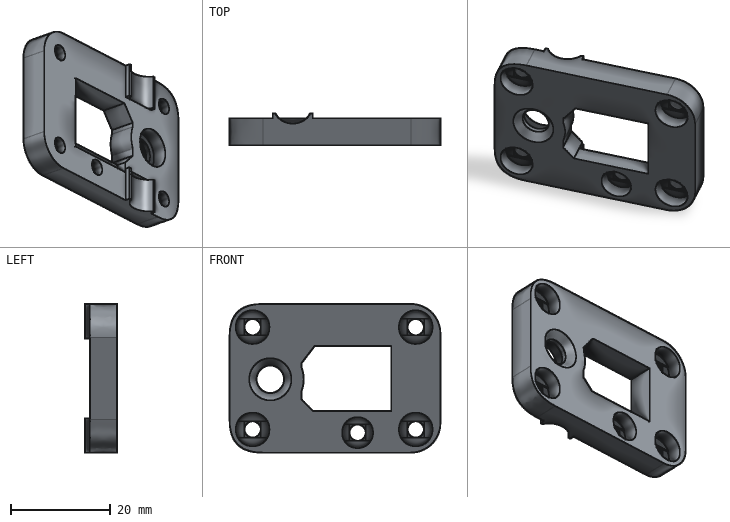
import cadquery as cq
import math

PLATE_WIDTH = 42.51
PLATE_HEIGHT = 29.99
PLATE_THICKNESS = 5.45
RIGHT_CORNER_RADIUS = 6.0
LEFT_CORNER_REACH = 6.7
LEFT_CORNER_INSET = 1.64
MID_HEIGHT = PLATE_HEIGHT / 2

SCREW_HOLE_DIAMETER = 3.25
STEP_WIDTH = 3.35
STEP_DEPTH = 0.25
COUNTERBORE_DEPTH = 3.0
CORNER_COUNTERBORE_DIAMETER = 6.8
CORNER_HOLE_SPACING_X = 32.84
CORNER_HOLE_SPACING_Z = 20.6
RIGHT_HOLE_MARGIN = 5.0
RIGHT_HOLE_X = PLATE_WIDTH - RIGHT_HOLE_MARGIN
LEFT_HOLE_X = RIGHT_HOLE_X - CORNER_HOLE_SPACING_X
LOWER_COUNTERBORE_DIAMETER = 6.25
LOWER_HOLE_X = 25.8
LOWER_HOLE_Z = 4.05

BORE_X = 8.23
BORE_Z = 14.8
BORE_DIAMETER = 5.5
COUNTERSINK_DIAMETER = 8.5
COUNTERSINK_DEPTH = (COUNTERSINK_DIAMETER - BORE_DIAMETER) / 2
BACK_BORE_DIAMETER = 8.0
BACK_BORE_START = 2.5

WINDOW_LEFT = 14.53
WINDOW_RIGHT = 32.58
WINDOW_BOTTOM = 8.42
WINDOW_TOP = 21.45
UPPER_CHAMFER_X = 2.62
UPPER_CHAMFER_Z = 3.4
LOWER_CHAMFER = 2.3
BORE_WALL_RADIUS = 6.75

RECESS_START = 3.4
RECESS_DROP = 2.2

SADDLE_X = 12.75
SADDLE_WIDTH = 8.1
SADDLE_LENGTH = 7.0
SADDLE_HEIGHT = 1.0
GROOVE_DIAMETER = 8.0
GROOVE_DEPTH = 2.1
BACK = PLATE_THICKNESS + SADDLE_HEIGHT


def front_plane(depth=0.0):
    """Workplane at the given Y; sketch axes are X and Z, and extruding by -d goes d toward +Y."""
    return cq.Workplane("XZ", origin=(0, depth, 0))


def cylinder(x, z, diameter, start, length):
    return front_plane(start).center(x, z).circle(diameter / 2).extrude(-length)


def block(x, z, width, height, start, length):
    return front_plane(start).center(x, z).rect(width, height).extrude(-length)


def plate():
    right = PLATE_WIDTH - RIGHT_CORNER_RADIUS
    top = PLATE_HEIGHT - RIGHT_CORNER_RADIUS
    arc_inset = RIGHT_CORNER_RADIUS * (1 - math.sqrt(0.5))
    inset = LEFT_CORNER_INSET
    outline = (
        front_plane()
        .moveTo(LEFT_CORNER_REACH, 0)
        .lineTo(right, 0)
        .threePointArc((PLATE_WIDTH - arc_inset, arc_inset), (PLATE_WIDTH, RIGHT_CORNER_RADIUS))
        .lineTo(PLATE_WIDTH, top)
        .threePointArc((PLATE_WIDTH - arc_inset, PLATE_HEIGHT - arc_inset), (right, PLATE_HEIGHT))
        .lineTo(LEFT_CORNER_REACH, PLATE_HEIGHT)
        .spline(
            [(inset, PLATE_HEIGHT - inset), (0, PLATE_HEIGHT - LEFT_CORNER_REACH)],
            tangents=[(-1, 0), (0, -1)],
            includeCurrent=True,
        )
        .lineTo(0, LEFT_CORNER_REACH)
        .spline(
            [(inset, inset), (LEFT_CORNER_REACH, 0)],
            tangents=[(0, -1), (1, 0)],
            includeCurrent=True,
        )
        .close()
    )
    return outline.extrude(-PLATE_THICKNESS)


def screw_hole(x, z, counterbore_diameter):
    """Counterbore, then a slot across it, then a square, then the round through hole."""
    slot_end = COUNTERBORE_DEPTH + STEP_DEPTH
    counterbore = cylinder(x, z, counterbore_diameter, 0, COUNTERBORE_DEPTH)
    slot = block(x, z, counterbore_diameter, STEP_WIDTH, 0, slot_end)
    slot = slot.intersect(cylinder(x, z, counterbore_diameter, 0, slot_end))
    square = block(x, z, STEP_WIDTH, STEP_WIDTH, 0, slot_end + STEP_DEPTH)
    through = cylinder(x, z, SCREW_HOLE_DIAMETER, 0, PLATE_THICKNESS)
    return counterbore.union(slot).union(square).union(through)


def countersunk_hole():
    bore = cylinder(BORE_X, BORE_Z, BORE_DIAMETER, 0, PLATE_THICKNESS)
    cone = cq.Solid.makeCone(
        COUNTERSINK_DIAMETER / 2,
        BORE_DIAMETER / 2,
        COUNTERSINK_DEPTH,
        pnt=cq.Vector(BORE_X, 0, BORE_Z),
        dir=cq.Vector(0, 1, 0),
    )
    back_bore_length = PLATE_THICKNESS - BACK_BORE_START
    back_bore = cylinder(BORE_X, BORE_Z, BACK_BORE_DIAMETER, BACK_BORE_START, back_bore_length)
    return bore.union(cq.Workplane(obj=cone)).union(back_bore)


def window():
    opening = (
        front_plane()
        .moveTo(WINDOW_LEFT + LOWER_CHAMFER, WINDOW_BOTTOM)
        .lineTo(WINDOW_RIGHT, WINDOW_BOTTOM)
        .lineTo(WINDOW_RIGHT, WINDOW_TOP)
        .lineTo(WINDOW_LEFT + UPPER_CHAMFER_X, WINDOW_TOP)
        .lineTo(WINDOW_LEFT, WINDOW_TOP - UPPER_CHAMFER_Z)
        .lineTo(WINDOW_LEFT, WINDOW_BOTTOM + LOWER_CHAMFER)
        .close()
        .extrude(-PLATE_THICKNESS)
    )
    return opening.cut(cylinder(BORE_X, BORE_Z, 2 * BORE_WALL_RADIUS, 0, PLATE_THICKNESS))


def window_recess():
    left = WINDOW_LEFT + LOWER_CHAMFER
    width = WINDOW_RIGHT - left
    center_z = WINDOW_BOTTOM - RECESS_DROP / 2
    depth = PLATE_THICKNESS - RECESS_START
    return block(left + width / 2, center_z, width, RECESS_DROP, RECESS_START, depth)


def saddle_block(z):
    return block(SADDLE_X, z, SADDLE_WIDTH, SADDLE_LENGTH, PLATE_THICKNESS, SADDLE_HEIGHT)


def saddle_groove(z):
    axis_y = BACK - GROOVE_DEPTH + GROOVE_DIAMETER / 2
    return (
        cq.Workplane("XY", origin=(SADDLE_X, axis_y, z - SADDLE_LENGTH / 2))
        .circle(GROOVE_DIAMETER / 2)
        .extrude(SADDLE_LENGTH)
    )


body = plate()

for saddle_z in (SADDLE_LENGTH / 2, PLATE_HEIGHT - SADDLE_LENGTH / 2):
    body = body.union(saddle_block(saddle_z)).cut(saddle_groove(saddle_z))

for hole_x in (LEFT_HOLE_X, RIGHT_HOLE_X):
    for side in (-1, 1):
        hole_z = MID_HEIGHT + side * CORNER_HOLE_SPACING_Z / 2
        body = body.cut(screw_hole(hole_x, hole_z, CORNER_COUNTERBORE_DIAMETER))
body = body.cut(screw_hole(LOWER_HOLE_X, LOWER_HOLE_Z, LOWER_COUNTERBORE_DIAMETER))

result = body.cut(countersunk_hole()).cut(window()).cut(window_recess())